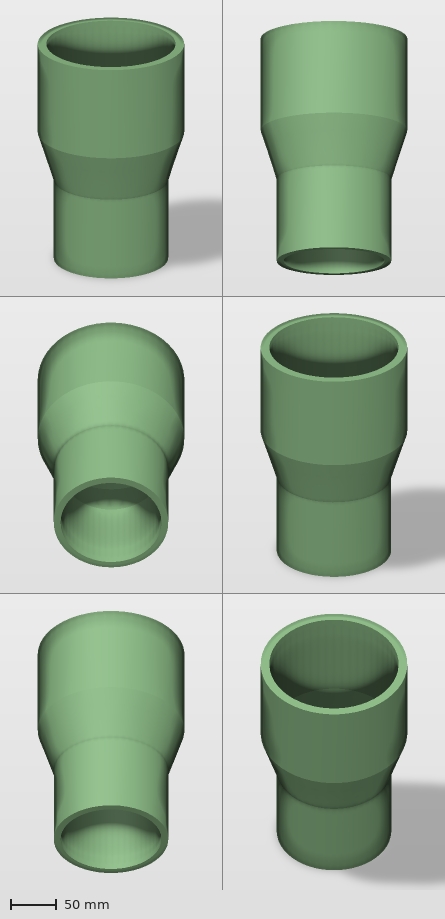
import cadquery as cq

total_height = 250.0
large_diameter = 160.0
large_bore = 141.0
small_diameter = 125.0
small_bore = 110.0
small_height = 92.0
large_height = 103.0

taper_top = total_height - large_height


def revolved_body(large_radius, small_radius):
    """Solid of two coaxial cylinders joined by a straight taper."""
    profile = (
        cq.Workplane("XZ")
        .lineTo(small_radius, 0)
        .lineTo(small_radius, small_height)
        .lineTo(large_radius, taper_top)
        .lineTo(large_radius, total_height)
        .lineTo(0, total_height)
        .close()
    )
    return profile.revolve(360, (0, 0, 0), (0, 1, 0))


outside = revolved_body(large_diameter / 2, small_diameter / 2)
bore = revolved_body(large_bore / 2, small_bore / 2)
result = outside.cut(bore)